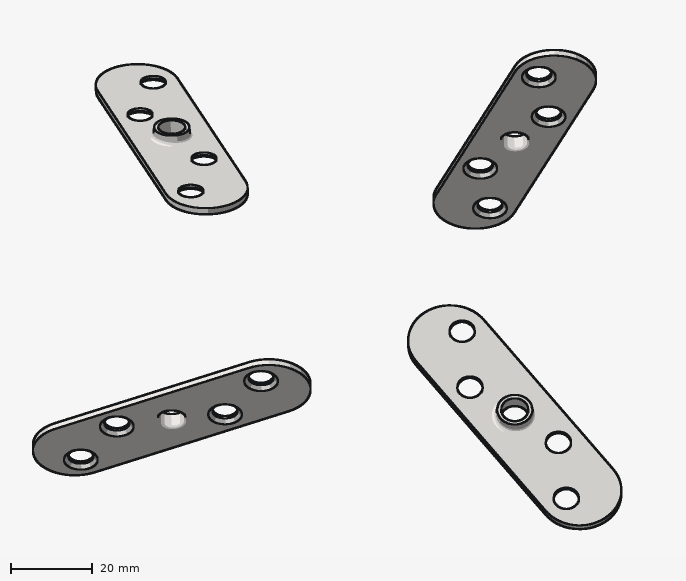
import cadquery as cq
import math

plate_length = 74.3
plate_width = 20.5
plate_thickness = 1.8

mount_hole_diameter = 6.2
countersink_size = 1.05
pair_spacing = 40.0
back_row_left_x = -26.9
front_row_left_x = -12.6
row_offset = 4.0

total_height = 4.3
bore_diameter = 6.6
collar_top_diameter = 8.6
collar_base_diameter = 9.0
flare_radius = 1.05
bore_mouth_radius = flare_radius


def arc_inset(radius):
    """Distance of a quarter arc's midpoint from each of its two tangent lines."""
    return radius * (1 - math.sqrt(0.5))


def make_plate():
    return (
        cq.Workplane("XY")
        .slot2D(plate_length, plate_width)
        .extrude(plate_thickness)
    )


def make_collar():
    """Revolve the collar profile about Z; its foot is a concave quarter arc."""
    top_radius = collar_top_diameter / 2
    base_radius = collar_base_diameter / 2
    foot_radius = base_radius + flare_radius
    flare_top = plate_thickness + flare_radius
    return (
        cq.Workplane("XZ")
        .lineTo(foot_radius, 0)
        .lineTo(foot_radius, plate_thickness)
        .threePointArc(
            (base_radius + arc_inset(flare_radius), plate_thickness + arc_inset(flare_radius)),
            (base_radius, flare_top),
        )
        .lineTo(top_radius, total_height)
        .lineTo(0, total_height)
        .close()
        .revolve(360, (0, 0, 0), (0, 1, 0))
    )


def make_mount_hole_cutter():
    """Through hole with a 45 degree countersink at the underside."""
    hole_radius = mount_hole_diameter / 2
    hole = cq.Workplane("XY").circle(hole_radius).extrude(plate_thickness)
    countersink = cq.Solid.makeCone(
        hole_radius + countersink_size, hole_radius, countersink_size
    )
    return hole.union(cq.Workplane(countersink))


def make_bore_cutter():
    """Through bore whose lower mouth is rounded outwards by a convex quarter arc."""
    bore_radius = bore_diameter / 2
    return (
        cq.Workplane("XZ")
        .lineTo(bore_radius + bore_mouth_radius, 0)
        .threePointArc(
            (bore_radius + arc_inset(bore_mouth_radius), arc_inset(bore_mouth_radius)),
            (bore_radius, bore_mouth_radius),
        )
        .lineTo(bore_radius, total_height)
        .lineTo(0, total_height)
        .close()
        .revolve(360, (0, 0, 0), (0, 1, 0))
    )


def cut_holes(body):
    mount_hole = make_mount_hole_cutter()
    for left_x, y in ((back_row_left_x, row_offset), (front_row_left_x, -row_offset)):
        for x in (left_x, left_x + pair_spacing):
            body = body.cut(mount_hole.translate((x, y, 0)))
    return body.cut(make_bore_cutter())


result = cut_holes(make_plate().union(make_collar()))